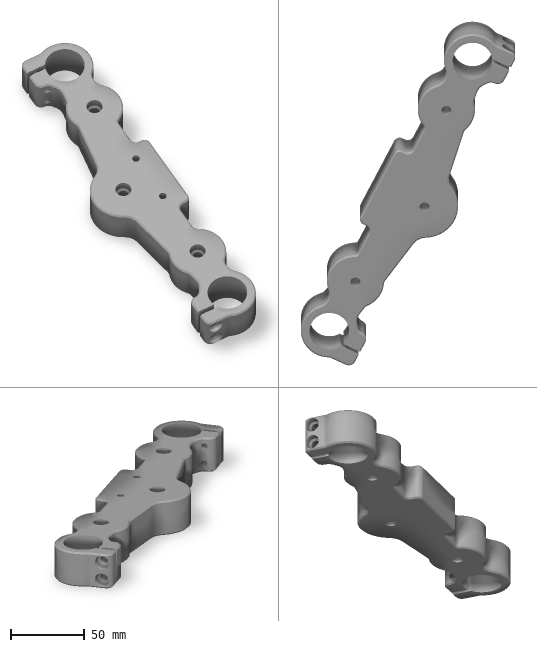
import cadquery as cq
import math

THICKNESS = 25.0
EDGE_CHAMFER = 1.0

BOSS_RADIUS = 19.5
CLAMP_X = 110.2
PIVOT_X = 70.0
STEM_Y = -18.0
STEM_RADIUS = 22.8

WEB_REAR_Y = 7.5
WEB_FRONT_Y_AT_PIVOT = -16.3
WEB_FRONT_SLOPE = math.tan(math.radians(9.2))

BLOCK_HALF_WIDTH = 30.0
BLOCK_REAR_Y = 18.0

FOOT_OUTER_X = 127.5
FOOT_INNER_X = 101.9
FOOT_END_Y = -25.7

SMALL_BLEND = 5.0
LARGE_BLEND = 10.0
STEM_BLEND = 11.1
VALLEY_BLEND = 9.0
BLOCK_BLEND = 4.1
STEP_BLEND = 2.5

CLAMP_BORE_RADIUS = 13.5
BOLT_HOLE_RADIUS = 3.4
BOLT_COUNTERBORE_RADIUS = 5.5
BOLT_COUNTERBORE_DEPTH = 6.0
TAPPED_HOLE_X = 18.1
TAPPED_HOLE_Y = 2.5
TAPPED_HOLE_RADIUS = 2.5
TAPPED_HOLE_DEPTH = 13.0
DRILL_POINT_ANGLE = 118.0

SLIT_X = 115.9
SLIT_WIDTH = 3.0
SCREW_Y = -19.0
SCREW_SPACING = 12.7
SCREW_HEAD_RADIUS = 5.0
SCREW_HEAD_DEPTH = 5.0
SCREW_CLEARANCE_RADIUS = 2.9
SCREW_THREAD_RADIUS = 2.0
SCREW_END_X = 93.3

SIDES = (-1, 1)


def web_front_y(x):
    """Y of the web's sloping front edge at a distance x from the middle."""
    return WEB_FRONT_Y_AT_PIVOT - WEB_FRONT_SLOPE * (PIVOT_X - x)


def boss(x, y, radius):
    return cq.Workplane("XY").center(x, y).circle(radius).extrude(THICKNESS)


def block_between(x1, x2, y1, y2):
    return (
        cq.Workplane("XY")
        .center((x1 + x2) / 2, (y1 + y2) / 2)
        .rect(abs(x2 - x1), abs(y2 - y1))
        .extrude(THICKNESS)
    )


def rear_valley():
    """Material under the concave arc that links a clamp boss to a pivot boss."""
    middle_x = (CLAMP_X + PIVOT_X) / 2
    half_gap = (CLAMP_X - PIVOT_X) / 2
    arc_y = math.sqrt((BOSS_RADIUS + VALLEY_BLEND) ** 2 - half_gap**2)
    triangle = [(CLAMP_X, 0), (middle_x, arc_y), (PIVOT_X, 0)]
    filler = cq.Workplane("XY").polyline(triangle).close().extrude(THICKNESS)
    return filler.cut(boss(middle_x, arc_y, VALLEY_BLEND))


def sharp_body():
    """Union of bosses, web, block and feet, before any blending."""
    web_outline = [
        (-CLAMP_X, WEB_REAR_Y),
        (CLAMP_X, WEB_REAR_Y),
        (CLAMP_X, web_front_y(CLAMP_X)),
        (0, web_front_y(0)),
        (-CLAMP_X, web_front_y(CLAMP_X)),
    ]
    body = cq.Workplane("XY").polyline(web_outline).close().extrude(THICKNESS)
    body = body.union(boss(0, STEM_Y, STEM_RADIUS))
    body = body.union(block_between(-BLOCK_HALF_WIDTH, BLOCK_HALF_WIDTH, 0, BLOCK_REAR_Y))
    valley = rear_valley()
    body = body.union(valley).union(valley.mirror("YZ"))
    for side in SIDES:
        body = body.union(boss(side * PIVOT_X, 0, BOSS_RADIUS))
        body = body.union(boss(side * CLAMP_X, 0, BOSS_RADIUS))
        body = body.union(block_between(side * FOOT_INNER_X, side * FOOT_OUTER_X, FOOT_END_Y, 0))
    return body


def blend(body, x, y, radius):
    """Fillet the upright edges at (x, y) and at its mirror image (-x, y)."""
    for side in SIDES:
        corner = cq.NearestToPointSelector((side * x, y, THICKNESS / 2))
        body = body.edges("|Z").edges(corner).fillet(radius)
    return body


def chord(offset):
    """Half chord of a boss at a given distance from its axis."""
    return math.sqrt(BOSS_RADIUS**2 - offset**2)


def front_edge_crossings(center_x, center_y, radius):
    """X of the two points where the web's front edge crosses a boss, smaller first."""
    tilt = math.atan(WEB_FRONT_SLOPE)
    drop = (web_front_y(center_x) - center_y) * math.cos(tilt)
    foot_x = center_x - drop * math.sin(tilt)
    reach = math.sqrt(radius**2 - drop**2) * math.cos(tilt)
    return foot_x - reach, foot_x + reach


def blended_body():
    """Body with every corner of the outline rounded, then chamfered above and below."""
    body = sharp_body()

    clamp_x, _ = front_edge_crossings(CLAMP_X, 0, BOSS_RADIUS)
    pivot_inner_x, pivot_outer_x = front_edge_crossings(PIVOT_X, 0, BOSS_RADIUS)
    _, stem_x = front_edge_crossings(0, STEM_Y, STEM_RADIUS)
    body = blend(body, clamp_x, web_front_y(clamp_x), LARGE_BLEND)
    body = blend(body, pivot_outer_x, web_front_y(pivot_outer_x), SMALL_BLEND)
    body = blend(body, pivot_inner_x, web_front_y(pivot_inner_x), SMALL_BLEND)
    body = blend(body, stem_x, web_front_y(stem_x), STEM_BLEND)

    for foot_x in (FOOT_INNER_X, FOOT_OUTER_X):
        body = blend(body, foot_x, -chord(foot_x - CLAMP_X), SMALL_BLEND)
        body = blend(body, foot_x, FOOT_END_Y, SMALL_BLEND)

    body = blend(body, BLOCK_HALF_WIDTH, BLOCK_REAR_Y, BLOCK_BLEND)
    body = blend(body, BLOCK_HALF_WIDTH, WEB_REAR_Y, BLOCK_BLEND)
    body = blend(body, PIVOT_X - chord(WEB_REAR_Y), WEB_REAR_Y, STEP_BLEND)
    return body.faces("<Z or >Z").edges().chamfer(EDGE_CHAMFER)


def blind_tapped_hole(x):
    """Cutter for a blind hole from the top with a conical drill point."""
    point_depth = TAPPED_HOLE_RADIUS / math.tan(math.radians(DRILL_POINT_ANGLE / 2))
    bottom_z = THICKNESS - TAPPED_HOLE_DEPTH
    profile = [
        (0, THICKNESS),
        (TAPPED_HOLE_RADIUS, THICKNESS),
        (TAPPED_HOLE_RADIUS, bottom_z),
        (0, bottom_z - point_depth),
    ]
    cutter = cq.Workplane("XZ").polyline(profile).close().revolve(360, (0, 0), (0, 1))
    return cutter.translate((x, TAPPED_HOLE_Y, 0))


def cut_vertical_holes(body):
    """Clamp bores, counterbored bolt holes and tapped holes."""
    top = cq.Workplane("XY").workplane(offset=THICKNESS)
    bolts = [(-PIVOT_X, 0), (0, STEM_Y), (PIVOT_X, 0)]
    clamps = [(-CLAMP_X, 0), (CLAMP_X, 0)]
    body = body.cut(top.pushPoints(clamps).circle(CLAMP_BORE_RADIUS).extrude(-THICKNESS))
    body = body.cut(top.pushPoints(bolts).circle(BOLT_HOLE_RADIUS).extrude(-THICKNESS))
    counterbores = top.pushPoints(bolts).circle(BOLT_COUNTERBORE_RADIUS).extrude(-BOLT_COUNTERBORE_DEPTH)
    body = body.cut(counterbores)
    for side in SIDES:
        body = body.cut(blind_tapped_hole(side * TAPPED_HOLE_X))
    return body


def screw_bore(radius, outer_x, inner_x):
    """Pair of bores along X for the pinch screws on the +X side."""
    half_spacing = SCREW_SPACING / 2
    centers = [(SCREW_Y, THICKNESS / 2 + offset) for offset in (-half_spacing, half_spacing)]
    start = cq.Workplane("YZ").workplane(offset=inner_x)
    return start.pushPoints(centers).circle(radius).extrude(outer_x - inner_x)


def clamp_cutter():
    """Slit and pinch-screw bores of the +X clamp."""
    cutter = block_between(SLIT_X - SLIT_WIDTH / 2, SLIT_X + SLIT_WIDTH / 2, FOOT_END_Y, 0)
    head_seat_x = FOOT_OUTER_X - SCREW_HEAD_DEPTH
    cutter = cutter.union(screw_bore(SCREW_HEAD_RADIUS, CLAMP_X + BOSS_RADIUS, head_seat_x))
    cutter = cutter.union(screw_bore(SCREW_CLEARANCE_RADIUS, head_seat_x, SLIT_X))
    return cutter.union(screw_bore(SCREW_THREAD_RADIUS, SLIT_X, SCREW_END_X))


right_clamp = clamp_cutter()
result = cut_vertical_holes(blended_body()).cut(right_clamp).cut(right_clamp.mirror("YZ"))